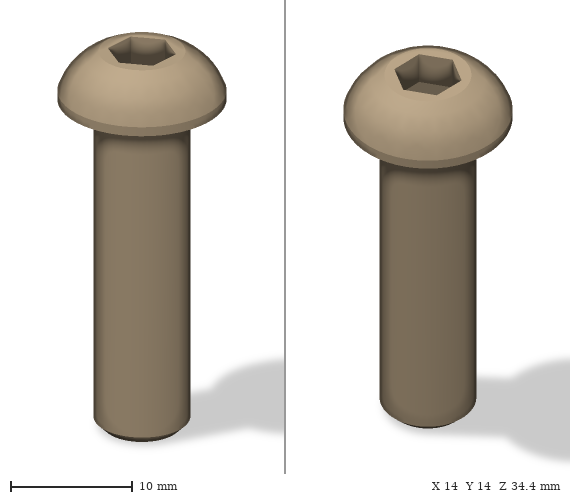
import cadquery as cq
import math

total_length = 34.4
head_diameter = 14.0
head_height = 4.4
rim_height = 0.83
crown_flat_diameter = 7.2
dome_bulge = 0.55
shank_diameter = 8.0
tip_chamfer = 0.8
seat_fillet = 0.4
socket_across_flats = 5.0
socket_depth = 2.9

head_radius = head_diameter / 2
crown_radius = crown_flat_diameter / 2
shank_radius = shank_diameter / 2
tip_z = head_height - total_length


def make_body():
    """Revolve the half profile of the head and shank about Z."""
    chord_run = head_radius - crown_radius
    chord_rise = head_height - rim_height
    chord = math.hypot(chord_run, chord_rise)
    dome_middle = (
        (head_radius + crown_radius) / 2 + dome_bulge * chord_rise / chord,
        (rim_height + head_height) / 2 + dome_bulge * chord_run / chord,
    )
    fillet_offset = seat_fillet * (1 - math.sqrt(0.5))
    fillet_middle = (shank_radius + fillet_offset, -fillet_offset)
    profile = (
        cq.Workplane("XZ")
        .moveTo(0, tip_z)
        .lineTo(shank_radius - tip_chamfer, tip_z)
        .lineTo(shank_radius, tip_z + tip_chamfer)
        .lineTo(shank_radius, -seat_fillet)
        .threePointArc(fillet_middle, (shank_radius + seat_fillet, 0))
        .lineTo(head_radius, 0)
        .lineTo(head_radius, rim_height)
        .threePointArc(dome_middle, (crown_radius, head_height))
        .lineTo(0, head_height)
        .close()
    )
    return profile.revolve(360, (0, 0, 0), (0, 1, 0))


def make_socket():
    """Hexagonal prism with two corners on the Y axis."""
    across_corners = socket_across_flats / math.cos(math.radians(30))
    return (
        cq.Workplane("XY")
        .workplane(offset=head_height - socket_depth)
        .transformed(rotate=(0, 0, 90))
        .polygon(6, across_corners)
        .extrude(socket_depth)
    )


result = make_body().cut(make_socket())